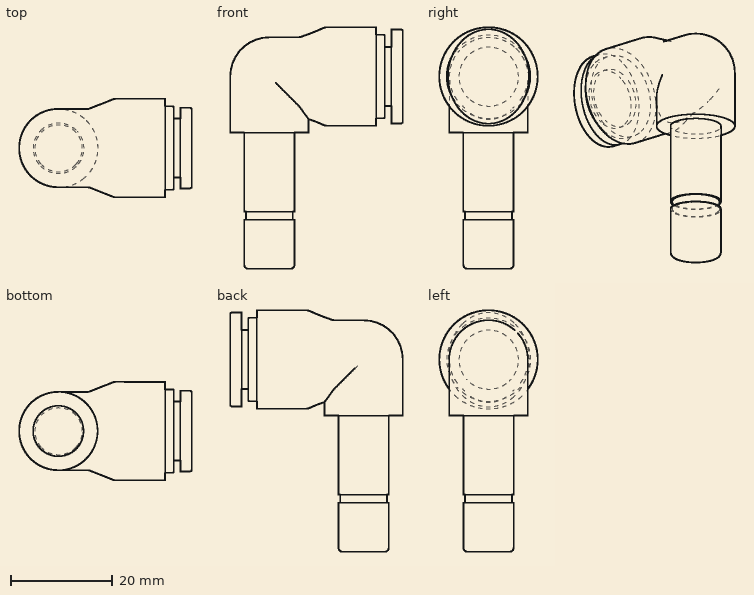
import cadquery as cq


TOTAL_HEIGHT = 47.75
TOTAL_LENGTH = 34.15

ELBOW_RADIUS = 15.5 / 2
LEG_LENGTH = 11.1
BELL_RADIUS = 19.5 / 2
CONE_START = 6.0
CONE_END = 11.05
BELL_END = 21.1
CONE_BLEND = 1.0
COLLAR_RADIUS = 16.5 / 2
COLLAR_END = 22.82
COLLAR_ROUND = 0.3

STEM_RADIUS = 10.0 / 2
STEM_END = TOTAL_HEIGHT - BELL_RADIUS
STEM_ROUND = 0.85
GROOVE_RADIUS = 9.3 / 2
GROOVE_TOP = 26.7
GROOVE_WIDTH = 1.58

NECK_RADIUS = 11.7 / 2
FLANGE_START = 24.1
FLANGE_END = TOTAL_LENGTH - ELBOW_RADIUS
FLANGE_HALF_WIDTH = 16.0 / 2
FLANGE_HALF_HEIGHT = 18.6 / 2
FLANGE_ROUND = 0.45


def rod_along_x(radius, start, end):
    """Round rod on the outlet axis between two X positions."""
    return cq.Workplane("YZ").workplane(offset=start).circle(radius).extrude(end - start)


def rod_down_z(radius, top, bottom):
    """Round rod on the inlet axis between two depths below the outlet axis."""
    return cq.Workplane("XY").workplane(offset=-top).circle(radius).extrude(top - bottom)


def make_outlet():
    """Outlet arm turned about X: tube, cone and bell, with blended corners."""
    outlet = (
        cq.Workplane("XY")
        .lineTo(0, ELBOW_RADIUS)
        .lineTo(CONE_START, ELBOW_RADIUS)
        .lineTo(CONE_END, BELL_RADIUS)
        .lineTo(BELL_END, BELL_RADIUS)
        .lineTo(BELL_END, 0)
        .close()
        .revolve(360, (0, 0, 0), (1, 0, 0))
    )
    cone_edges = outlet.faces("%CONE").edges("%CIRCLE")
    return cone_edges.fillet(CONE_BLEND)


def make_elbow():
    """Vertical leg and outlet arm joined by a ball corner, with a collar at the mouth."""
    collar = rod_along_x(COLLAR_RADIUS, BELL_END, COLLAR_END).faces(">X").edges().fillet(COLLAR_ROUND)
    corner = cq.Workplane("XY").sphere(ELBOW_RADIUS)
    leg = rod_down_z(ELBOW_RADIUS, 0, LEG_LENGTH)
    return leg.union(corner).union(make_outlet()).union(collar)


def make_stem():
    """Plug-in stem with a shallow ring groove and a rounded tip."""
    stem = rod_down_z(STEM_RADIUS, LEG_LENGTH, STEM_END).faces("<Z").edges().fillet(STEM_ROUND)
    groove_bottom = GROOVE_TOP + GROOVE_WIDTH
    groove_floor = rod_down_z(GROOVE_RADIUS, GROOVE_TOP, groove_bottom)
    groove = rod_down_z(STEM_RADIUS, GROOVE_TOP, groove_bottom).cut(groove_floor)
    return stem.cut(groove)


def make_release_button():
    """Round neck carrying an oval flange."""
    flange = (
        cq.Workplane("YZ")
        .workplane(offset=FLANGE_START)
        .ellipse(FLANGE_HALF_WIDTH, FLANGE_HALF_HEIGHT)
        .extrude(FLANGE_END - FLANGE_START)
        .faces(">X")
        .edges()
        .fillet(FLANGE_ROUND)
    )
    return flange.union(rod_along_x(NECK_RADIUS, COLLAR_END, FLANGE_START))


elbow = make_elbow()
stem = make_stem()
release_button = make_release_button()

result = cq.Compound.makeCompound([elbow.val(), stem.val(), release_button.val()])